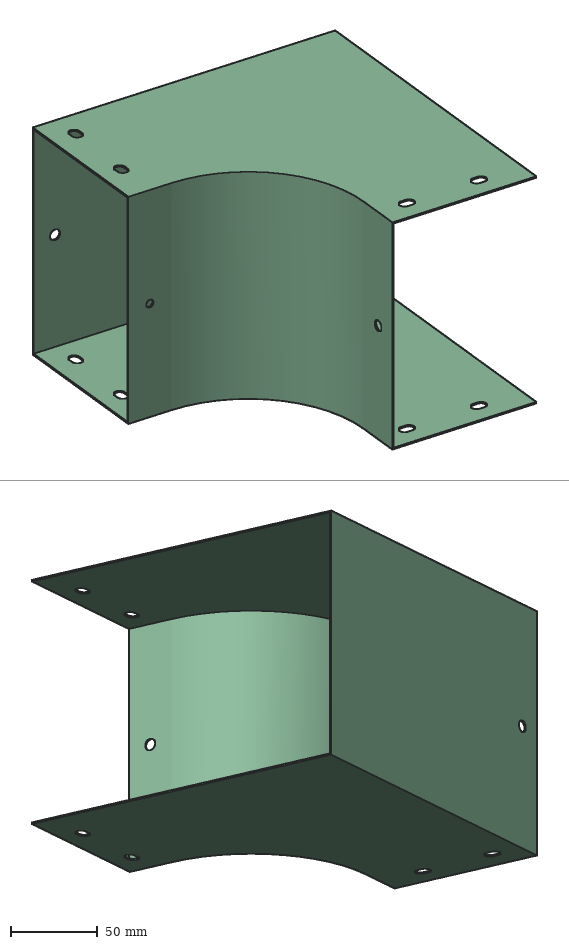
import cadquery as cq

side = 210.0
height = 150.0
channel_width = 100.0
wall = 1.0
bend_radius = 80.0

hole_diameter = 7.0
small_hole_diameter = 5.0
slot_width = 7.0
slot_length = 10.0
end_distance = 15.0
slot_spacing = 50.0
inlet_slot_x = 20.0
outlet_slot_y = side - 30.0
corner_slot_y = 16.5

inner_x = channel_width
inner_y = side - channel_width
middle_z = height / 2


def bend_plate(thickness):
    """Quarter-bend outline with a rounded inside corner."""
    plate = (
        cq.Workplane("XY")
        .polyline([(0, 0), (inner_x, 0), (inner_x, inner_y), (side, inner_y), (side, side), (0, side)])
        .close()
        .extrude(thickness)
    )
    inside_corner = cq.selectors.NearestToPointSelector((inner_x, inner_y, thickness / 2))
    return plate.edges("|Z").edges(inside_corner).fillet(bend_radius)


def duct_shell():
    """Hollow bend, open at the -Y and +X ends and along the +Y back."""
    return bend_plate(height).faces("<Y or >X or >Y").shell(-wall)


def slot_cutter(x, y, bottom, angle):
    """Vertical slot that cuts the one plate whose underside is at the given height."""
    return (
        cq.Workplane("XY", origin=(x, y, bottom - wall))
        .slot2D(slot_length, slot_width, angle)
        .extrude(3 * wall)
    )


def hole_along_x(x, diameter):
    """Round hole through a wall whose lower X face is at x, near the -Y end."""
    return (
        cq.Workplane("YZ", origin=(x - wall, end_distance, middle_z))
        .circle(diameter / 2)
        .extrude(3 * wall)
    )


def hole_along_y(y, diameter):
    """Round hole through a wall whose lower Y face is at y, near the +X end."""
    return (
        cq.Workplane("XZ", origin=(side - end_distance, y + 2 * wall, middle_z))
        .circle(diameter / 2)
        .extrude(3 * wall)
    )


result = duct_shell()

for bottom in (0, height - wall):
    result = result.cut(slot_cutter(inlet_slot_x, corner_slot_y, bottom, 0))
    result = result.cut(slot_cutter(inlet_slot_x + slot_spacing, end_distance, bottom, 0))
    for step in (0, slot_spacing):
        result = result.cut(slot_cutter(side - end_distance, outlet_slot_y - step, bottom, 90))

result = result.cut(hole_along_x(0, hole_diameter))
result = result.cut(hole_along_x(inner_x - wall, small_hole_diameter))
result = result.cut(hole_along_y(inner_y, hole_diameter))